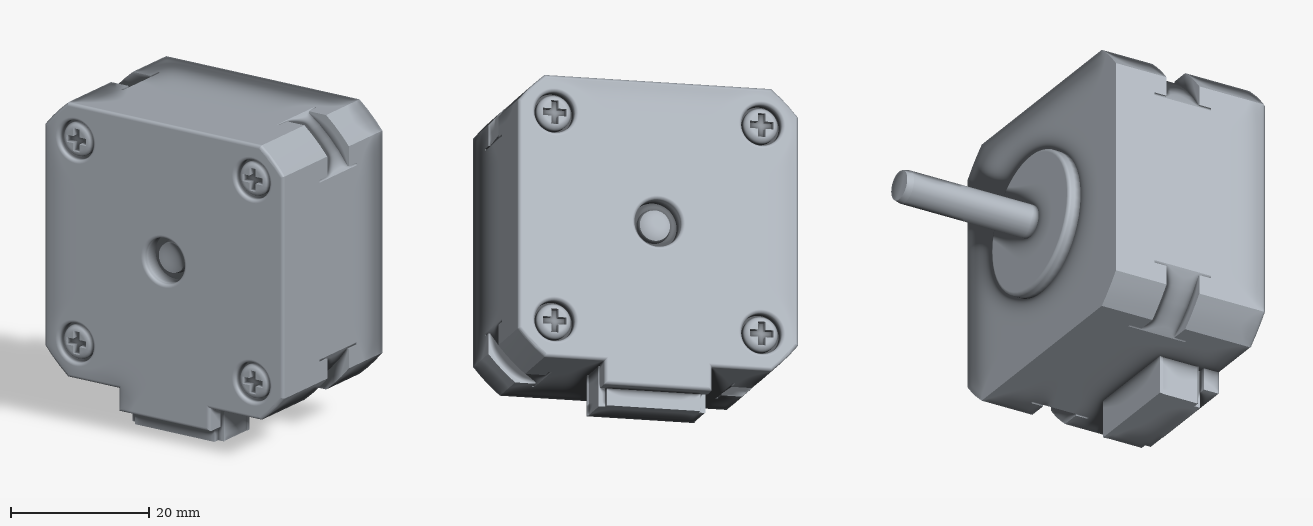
import cadquery as cq
import math

CASE_WIDTH = 42.0
HALF_WIDTH = CASE_WIDTH / 2
CASE_LENGTH = 25.3
CORNER_RADIUS = 27.0
REAR_EDGE_FILLET = 0.5

STATOR_RADIUS = 25.0
STATOR_CENTER_Y = 14.0
CORNER_GAP_LENGTH = 5.5
WINDOW_LENGTH = 9.5
WINDOW_WIDTH = 27.9

BOSS_RADIUS = 11.0
BOSS_HEIGHT = 2.0
BOSS_FILLET = 0.5

RECESS_RADIUS = 3.5
RECESS_DEPTH = 3.0
RECESS_FILLET = 0.5

SHAFT_RADIUS = 2.5
SHAFT_FRONT_Y = 49.3
SHAFT_TAPER_LENGTH = 1.0
SHAFT_REAR_Y = RECESS_DEPTH - SHAFT_TAPER_LENGTH
SHAFT_TAPER_INSET = 0.25

SCREW_PITCH = 31.0
SCREW_HOLE_RADIUS = 3.0
SCREW_HOLE_DEPTH = 1.95
SCREW_HOLE_FILLET = 0.5
HEAD_RADIUS = 2.6
HEAD_SINK = 0.15
HEAD_FILLET = 1.0
CROSS_LENGTH = 3.5
CROSS_WIDTH = 1.1
CROSS_DEPTH = 1.15

CONNECTOR_WIDTH = 16.05
CONNECTOR_DROP = 6.0
CONNECTOR_LENGTH = 7.4
CORNER_NOTCH_WIDTH = 1.05
CORNER_NOTCH_LENGTH = 0.95
TAB_DROP = 3.5
TAB_THICKNESS = 2.75
SIDE_RECESS_DEPTH = 0.1
SIDE_RECESS_FRONT_WALL = 0.55
SIDE_RECESS_REAR_WALL = 1.1


def cylinder(radius, start_y, end_y, x=0, z=0):
    """Solid cylinder along Y."""
    return (
        cq.Workplane("XZ", origin=(x, start_y, z))
        .circle(radius)
        .extrude(start_y - end_y)
    )


def block(x_range, y_range, z_range):
    """Axis-aligned box given by its limits."""
    sizes = [high - low for low, high in (x_range, y_range, z_range)]
    corner = (x_range[0], y_range[0], z_range[0])
    return cq.Workplane("XY", origin=corner).box(*sizes, centered=False)


def make_case_block():
    """Square case with arc corners and the rear tab, filleted around the rear face."""
    square = block((-HALF_WIDTH, HALF_WIDTH), (0, CASE_LENGTH), (-HALF_WIDTH, HALF_WIDTH))
    case = square.intersect(cylinder(CORNER_RADIUS, 0, CASE_LENGTH))
    tab = block(
        (-CONNECTOR_WIDTH / 2, CONNECTOR_WIDTH / 2),
        (0, TAB_THICKNESS),
        (-HALF_WIDTH - TAB_DROP, 0),
    )
    return case.union(tab).faces("<Y").edges().fillet(REAR_EDGE_FILLET)


def make_stator_clearance():
    """Space around the round stator: a gap at each corner and a window on each side."""
    gap_start = STATOR_CENTER_Y - CORNER_GAP_LENGTH / 2
    window_start = STATOR_CENTER_Y - WINDOW_LENGTH / 2
    gap_range = (gap_start, gap_start + CORNER_GAP_LENGTH)
    window_range = (window_start, window_start + WINDOW_LENGTH)
    full = (-HALF_WIDTH, HALF_WIDTH)
    window = (-WINDOW_WIDTH / 2, WINDOW_WIDTH / 2)
    space = block(full, gap_range, full)
    space = space.union(block(window, window_range, full))
    space = space.union(block(full, window_range, window))
    return space.cut(cylinder(STATOR_RADIUS, *window_range))


def make_boss():
    """Round pilot boss with a softened front rim."""
    boss = cylinder(BOSS_RADIUS, CASE_LENGTH, CASE_LENGTH + BOSS_HEIGHT)
    return boss.faces(">Y").edges().fillet(BOSS_FILLET)


def make_rounded_hole(radius, depth, rim_fillet, x=0, z=0):
    """Cutter for a flat-bottomed hole in the rear face with a rounded rim."""
    rim = radius + rim_fillet
    arc_offset = rim_fillet * math.sqrt(0.5)
    profile = (
        cq.Workplane("XY")
        .lineTo(rim, 0)
        .threePointArc((rim - arc_offset, rim_fillet - arc_offset), (radius, rim_fillet))
        .lineTo(radius, depth)
        .lineTo(0, depth)
        .close()
    )
    return profile.revolve(360, (0, 0), (0, 1)).translate((x, 0, z))


def make_screw_head(x, z):
    """Domed screw head with a cross recess."""
    head = cylinder(HEAD_RADIUS, HEAD_SINK, SCREW_HOLE_DEPTH, x, z)
    head = head.faces("<Y").edges().fillet(HEAD_FILLET)
    cross = (
        cq.Workplane("XZ", origin=(x, HEAD_SINK, z))
        .rect(CROSS_LENGTH, CROSS_WIDTH)
        .extrude(-CROSS_DEPTH)
        .union(
            cq.Workplane("XZ", origin=(x, HEAD_SINK, z))
            .rect(CROSS_WIDTH, CROSS_LENGTH)
            .extrude(-CROSS_DEPTH)
        )
    )
    return head.cut(cross)


def make_connector():
    """Connector block with notched rear corners and a shallow recess on each side."""
    half = CONNECTOR_WIDTH / 2
    front_y = TAB_THICKNESS + CONNECTOR_LENGTH
    z_range = (-HALF_WIDTH - CONNECTOR_DROP, -HALF_WIDTH)
    connector = block((-half, half), (TAB_THICKNESS, front_y), z_range)
    notch_range = (TAB_THICKNESS, TAB_THICKNESS + CORNER_NOTCH_LENGTH)
    recess_range = (TAB_THICKNESS + SIDE_RECESS_REAR_WALL, front_y - SIDE_RECESS_FRONT_WALL)
    for depth, y_range in ((CORNER_NOTCH_WIDTH, notch_range), (SIDE_RECESS_DEPTH, recess_range)):
        for x_range in ((-half, depth - half), (half - depth, half)):
            connector = connector.cut(block(x_range, y_range, z_range))
    return connector


def make_shaft():
    """Round shaft, tapered at both ends."""
    end_radius = SHAFT_RADIUS - SHAFT_TAPER_INSET
    profile = (
        cq.Workplane("XY")
        .moveTo(0, SHAFT_REAR_Y)
        .lineTo(end_radius, SHAFT_REAR_Y)
        .lineTo(SHAFT_RADIUS, SHAFT_REAR_Y + SHAFT_TAPER_LENGTH)
        .lineTo(SHAFT_RADIUS, SHAFT_FRONT_Y - SHAFT_TAPER_LENGTH)
        .lineTo(end_radius, SHAFT_FRONT_Y)
        .lineTo(0, SHAFT_FRONT_Y)
        .close()
    )
    return profile.revolve(360, (0, 0), (0, 1))


def make_housing():
    """Case with stator, boss, screws and connector, bored for the shaft."""
    housing = make_case_block().cut(make_stator_clearance())
    housing = housing.union(make_boss()).union(make_connector())
    housing = housing.cut(make_rounded_hole(RECESS_RADIUS, RECESS_DEPTH, RECESS_FILLET))
    housing = housing.cut(cylinder(SHAFT_RADIUS, 0, CASE_LENGTH + BOSS_HEIGHT))
    for x in (-SCREW_PITCH / 2, SCREW_PITCH / 2):
        for z in (-SCREW_PITCH / 2, SCREW_PITCH / 2):
            hole = make_rounded_hole(SCREW_HOLE_RADIUS, SCREW_HOLE_DEPTH, SCREW_HOLE_FILLET, x, z)
            housing = housing.cut(hole).union(make_screw_head(x, z))
    return housing


housing = make_housing()
shaft = make_shaft()

result = cq.Compound.makeCompound([housing.val(), shaft.val()])